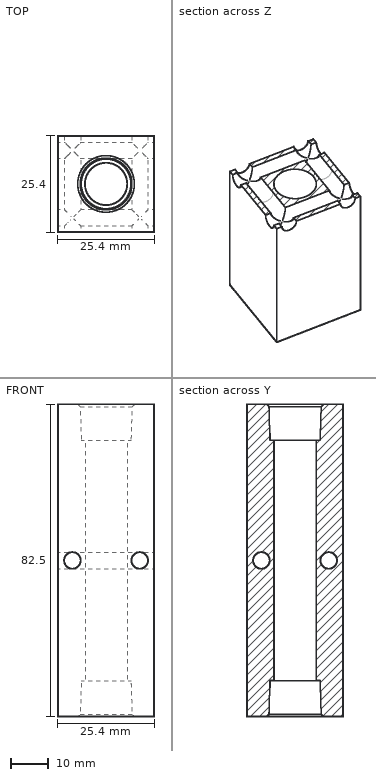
import cadquery as cq

block_width = 25.4
block_height = 82.55

bore_diameter = 11.11
port_depth = 9.5
port_chamfer = 0.65
port_mouth_diameter = 13.68
port_taper = 1 / 16
port_end_diameter = port_mouth_diameter - port_taper * (port_depth - port_chamfer)

cross_hole_diameter = 4.33
cross_hole_spacing = 17.78


def make_passage():
    """Revolved volume of the bore, the two tapered ports and their chamfers."""
    top = block_height / 2
    bore_radius = bore_diameter / 2
    mouth_radius = port_mouth_diameter / 2
    port_floor = top - port_depth
    upper_half = (
        cq.Workplane("XZ")
        .lineTo(bore_radius, 0)
        .lineTo(bore_radius, port_floor)
        .lineTo(port_end_diameter / 2, port_floor)
        .lineTo(mouth_radius, top - port_chamfer)
        .lineTo(mouth_radius + port_chamfer, top)
        .lineTo(0, top)
        .close()
        .revolve(360, (0, 0, 0), (0, 1, 0))
    )
    return upper_half.union(upper_half.mirror("XY"))


def make_cross_holes(plane):
    """Pair of cylinders through the block, normal to the given plane."""
    return (
        cq.Workplane(plane)
        .rarray(cross_hole_spacing, 1, 2, 1)
        .circle(cross_hole_diameter / 2)
        .extrude(block_width / 2, both=True)
    )


result = cq.Workplane("XY").box(block_width, block_width, block_height)
result = result.cut(make_passage())
for hole_plane in ("XZ", "YZ"):
    result = result.cut(make_cross_holes(hole_plane))